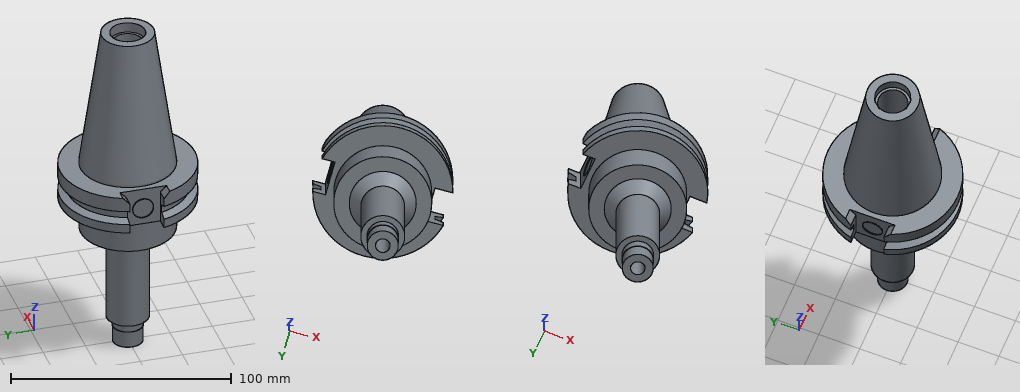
import cadquery as cq

total_height = 163.4
nose_band_top = 8.2
nose_top = 13.0
shank_top = 55.0
body_bottom = 60.5
flange_bottom = 76.1
groove_lower_edge = 80.5
groove_floor_bottom = 82.0
groove_floor_top = 86.0
groove_upper_edge = 87.4
flange_top = 94.4
taper_bottom = 95.2

nose_band_radius = 7.0
nose_radius = 7.2
shank_radius = 10.0
transition_radius = 15.2
gauge_radius = 22.2
flange_diameter = 63.5
flange_radius = flange_diameter / 2
groove_radius = 28.1
taper_ratio = 7 / 24
taper_top_radius = gauge_radius - taper_ratio * (total_height - taper_bottom) / 2

through_radius = 3.3
thread_radius = 6.9
thread_depth = 32.0
recess_radius = 8.2
recess_depth = 4.9

slot_width = 16.2
slot_chamfer = 3.0
slot_floor_left = 24.7
slot_floor_right = 22.4

dimple_radius = 4.9
dimple_height = 84.1
dimple_depth = 0.5


def make_holder():
    """Revolve the complete outer profile about the Z axis."""
    profile = [
        (0, 0),
        (nose_band_radius, 0),
        (nose_band_radius, nose_band_top),
        (nose_radius, nose_band_top),
        (nose_radius, nose_top),
        (shank_radius, nose_top),
        (shank_radius, shank_top),
        (transition_radius, body_bottom),
        (gauge_radius, body_bottom),
        (gauge_radius, flange_bottom),
        (flange_radius, flange_bottom),
        (flange_radius, groove_lower_edge),
        (groove_radius, groove_floor_bottom),
        (groove_radius, groove_floor_top),
        (flange_radius, groove_upper_edge),
        (flange_radius, flange_top),
        (gauge_radius, flange_top),
        (gauge_radius, taper_bottom),
        (taper_top_radius, total_height),
        (0, total_height),
    ]
    return cq.Workplane("XZ").polyline(profile).close().revolve(360, (0, 0), (0, 1))


def make_bore():
    """Through hole widened in two steps from the small end of the taper."""
    through = cq.Workplane("XY").circle(through_radius).extrude(total_height)
    top = cq.Workplane("XY").workplane(offset=total_height)
    thread = top.circle(thread_radius).extrude(-thread_depth)
    recess = top.circle(recess_radius).extrude(-recess_depth)
    return through.union(thread).union(recess)


def make_slot(floor_distance, side):
    """Drive slot with chamfered upper edges; side is -1 for -X and 1 for +X."""
    half_width = slot_width / 2
    mouth = half_width + slot_chamfer
    chamfer_bottom = flange_top - slot_chamfer
    section = [
        (-half_width, flange_bottom),
        (half_width, flange_bottom),
        (half_width, chamfer_bottom),
        (mouth, flange_top),
        (-mouth, flange_top),
        (-half_width, chamfer_bottom),
    ]
    plane = cq.Workplane("YZ").workplane(offset=side * floor_distance)
    return plane.polyline(section).close().extrude(side * (flange_radius - floor_distance))


def make_dimple():
    """Blind hole entering the floor of the left slot."""
    floor = cq.Workplane("YZ").workplane(offset=-slot_floor_left)
    return floor.center(0, dimple_height).circle(dimple_radius).extrude(dimple_depth)


result = (
    make_holder()
    .cut(make_bore())
    .cut(make_slot(slot_floor_left, -1))
    .cut(make_slot(slot_floor_right, 1))
    .cut(make_dimple())
)